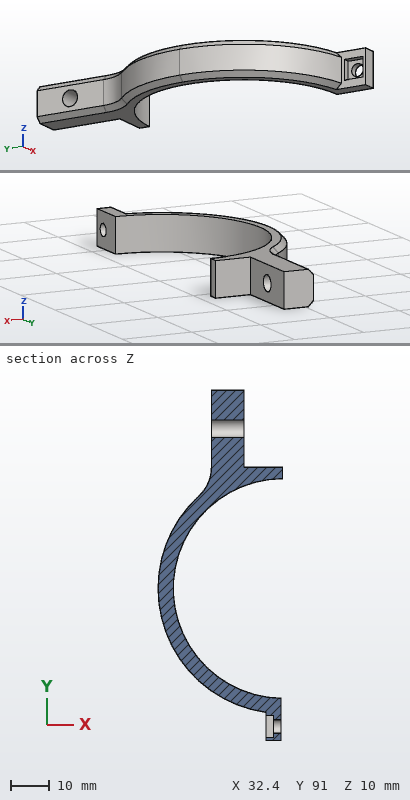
import cadquery as cq
import math

width = 10.0
inner_radius = 28.5
ring_wall = 4.0
edge_chamfer = 1.5

arm_length = 20.0
arm_thickness = 8.5
lip_thickness = 3.0
lip_length = 10.0
lip_tip_x = -0.15
blend_radius = 10.0
arm_hole_diameter = 4.5

foot_face_x = -0.5
foot_thickness = 4.0
foot_length = 7.0
foot_hole_diameter = 3.5
foot_hole_end_distance = 3.65
nut_pocket_size = 5.6
nut_pocket_depth = 2.0

outer_radius = inner_radius + ring_wall
lip_top_y = inner_radius + lip_thickness
arm_inner_x = lip_tip_x - lip_length
arm_outer_x = arm_inner_x - arm_thickness
arm_top_y = lip_top_y + arm_length
arm_hole_y = arm_top_y - arm_length / 2
foot_outer_x = foot_face_x - foot_thickness
foot_bottom_y = -(outer_radius + foot_length)
foot_hole_y = foot_bottom_y + foot_hole_end_distance

blend_center_x = arm_outer_x - blend_radius
blend_center_distance = outer_radius + blend_radius
blend_center_y = math.sqrt(blend_center_distance**2 - blend_center_x**2)
ring_tangent_angle = math.atan2(blend_center_y, blend_center_x)


def circle_point(radius, angle):
    """Point at the given angle on a circle about the origin."""
    return (radius * math.cos(angle), radius * math.sin(angle))


def y_below_axis(radius, x):
    """Y of the lower half of a circle about the pipe axis at the given X."""
    return -math.sqrt(radius**2 - x**2)


def make_body():
    """Arm, lip, half ring and foot in one piece, with both outer edges chamfered."""
    blend_middle_angle = (ring_tangent_angle - math.pi) / 2
    middle_dx, middle_dy = circle_point(blend_radius, blend_middle_angle)
    upper_middle_angle = (ring_tangent_angle + math.pi) / 2
    lower_middle_angle = math.radians(225)
    outline = (
        cq.Workplane("XY")
        .workplane(offset=-width / 2)
        .moveTo(lip_tip_x, -y_below_axis(inner_radius, lip_tip_x))
        .lineTo(lip_tip_x, lip_top_y)
        .lineTo(arm_inner_x, lip_top_y)
        .lineTo(arm_inner_x, arm_top_y)
        .lineTo(arm_outer_x, arm_top_y)
        .lineTo(arm_outer_x, blend_center_y)
        .threePointArc(
            (blend_center_x + middle_dx, blend_center_y + middle_dy),
            circle_point(outer_radius, ring_tangent_angle),
        )
        .threePointArc(circle_point(outer_radius, upper_middle_angle), (-outer_radius, 0))
        .threePointArc(
            circle_point(outer_radius, lower_middle_angle),
            (foot_outer_x, y_below_axis(outer_radius, foot_outer_x)),
        )
        .lineTo(foot_outer_x, foot_bottom_y)
        .lineTo(foot_face_x, foot_bottom_y)
        .lineTo(foot_face_x, y_below_axis(inner_radius, foot_face_x))
        .threePointArc((-inner_radius, 0), (lip_tip_x, -y_below_axis(inner_radius, lip_tip_x)))
        .close()
    )
    body = outline.extrude(width, clean=False)
    arm_edge_y = (arm_top_y + blend_center_y) / 2
    for z in (-width / 2, width / 2):
        arm_edge = cq.selectors.NearestToPointSelector((arm_outer_x, arm_edge_y, z))
        body = body.edges(arm_edge).chamfer(edge_chamfer)
    return body


def make_screw_hole(y, diameter, start_x, end_x):
    """Cylinder along X at mid-width."""
    length = end_x - start_x
    return cq.Workplane("YZ", origin=(start_x, y, 0)).circle(diameter / 2).extrude(length)


def make_nut_pocket():
    """Square recess in the foot's outer face."""
    return (
        cq.Workplane("YZ", origin=(foot_outer_x, foot_hole_y, 0))
        .rect(nut_pocket_size, nut_pocket_size)
        .extrude(nut_pocket_depth)
    )


result = (
    make_body()
    .cut(make_screw_hole(arm_hole_y, arm_hole_diameter, arm_outer_x, arm_inner_x), clean=False)
    .cut(make_screw_hole(foot_hole_y, foot_hole_diameter, foot_outer_x, foot_face_x), clean=False)
    .cut(make_nut_pocket(), clean=False)
)